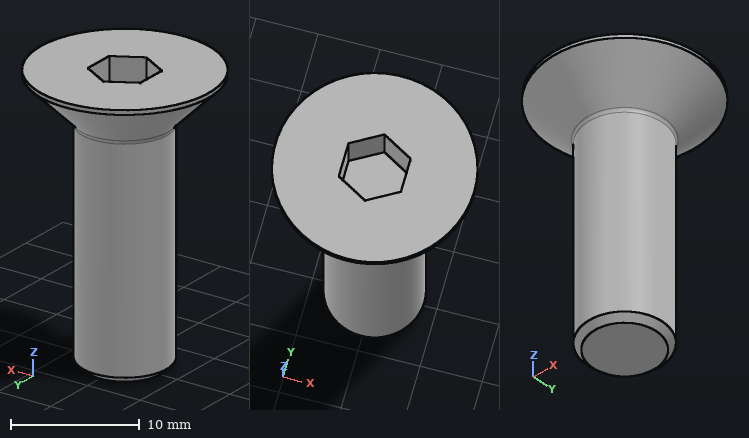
import cadquery as cq
import math

total_length = 25.0
head_diameter = 16.0
shank_diameter = 8.0
rim_height = 0.4
tip_chamfer = 0.62
neck_fillet = 0.5
socket_across_flats = 5.0
socket_depth = 3.5

head_radius = head_diameter / 2
shank_radius = shank_diameter / 2
cone_top = total_length - rim_height
cone_bottom = cone_top - (head_radius - shank_radius)


def make_body():
    """Revolve the half profile and blend the neck."""
    profile = (
        cq.Workplane("XZ")
        .lineTo(shank_radius - tip_chamfer, 0)
        .lineTo(shank_radius, tip_chamfer)
        .lineTo(shank_radius, cone_bottom)
        .lineTo(head_radius, cone_top)
        .lineTo(head_radius, total_length)
        .lineTo(0, total_length)
        .close()
    )
    body = profile.revolve(360, (0, 0), (0, 1))
    neck_edge = cq.selectors.BoxSelector(
        (-head_radius, -head_radius, cone_bottom - neck_fillet),
        (head_radius, head_radius, cone_bottom + neck_fillet),
    )
    return body.edges("%CIRCLE").edges(neck_edge).fillet(neck_fillet)


def make_socket():
    """Hexagonal prism with corners on the Y axis."""
    across_corners = socket_across_flats / math.cos(math.pi / 6)
    return (
        cq.Workplane("XY", origin=(0, 0, total_length - socket_depth))
        .transformed(rotate=(0, 0, 90))
        .polygon(6, across_corners)
        .extrude(socket_depth)
    )


result = make_body().cut(make_socket())